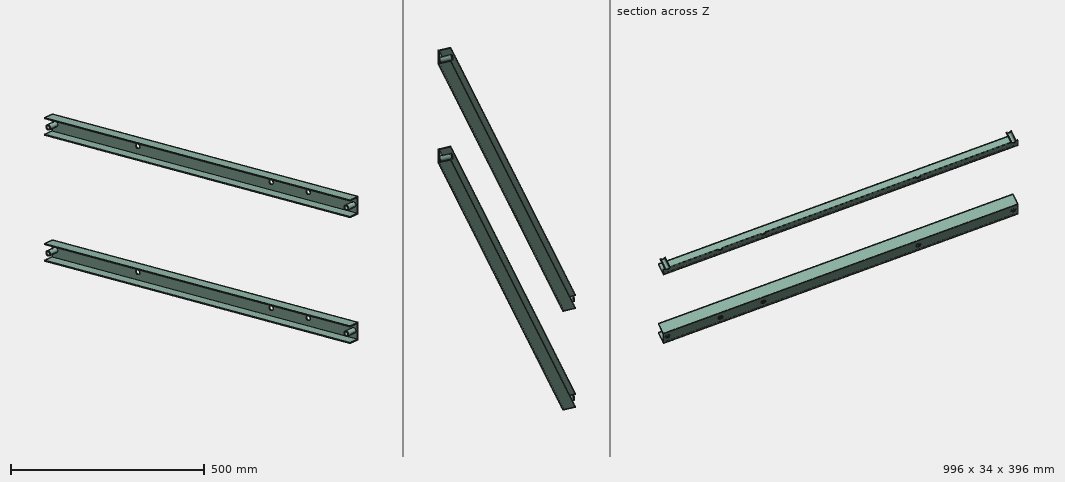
import cadquery as cq

rail_length = 996.0
rail_depth = 34.0
rail_height = 49.0
wall = 3.0
overall_height = 396.0
rail_spacing = overall_height - rail_height

boss_diameter = 15.0
bore_diameter = 10.0
boss_end_distance = 12.0

mounting_hole_diameter = 13.0
mounting_hole_positions = [280.0, 715.0, 836.0]

boss_positions = [boss_end_distance, rail_length - boss_end_distance]


def make_channel():
    """U-shaped channel with its web on the +Y side and its mid-height at Z = 0."""
    outer = cq.Workplane("XY").box(rail_length, rail_depth, rail_height, centered=(False, False, True))
    cavity = cq.Workplane("XY").box(
        rail_length, rail_depth - wall, rail_height - 2 * wall, centered=(False, False, True)
    )
    return outer.cut(cavity)


def make_cylinders(positions, diameter):
    """Full-depth cylinders along Y at the given X positions."""
    return (
        cq.Workplane("XZ")
        .pushPoints([(x, 0) for x in positions])
        .circle(diameter / 2)
        .extrude(-rail_depth)
    )


def make_rail(bottom_z):
    """One channel with its end bosses, through bores and mounting holes."""
    rail = make_channel().union(make_cylinders(boss_positions, boss_diameter))
    rail = rail.cut(make_cylinders(boss_positions, bore_diameter))
    rail = rail.cut(make_cylinders(mounting_hole_positions, mounting_hole_diameter))
    return rail.translate((0, 0, bottom_z + rail_height / 2))


rails = [make_rail(bottom_z) for bottom_z in (0, rail_spacing)]

result = cq.Compound.makeCompound([rail.val() for rail in rails])